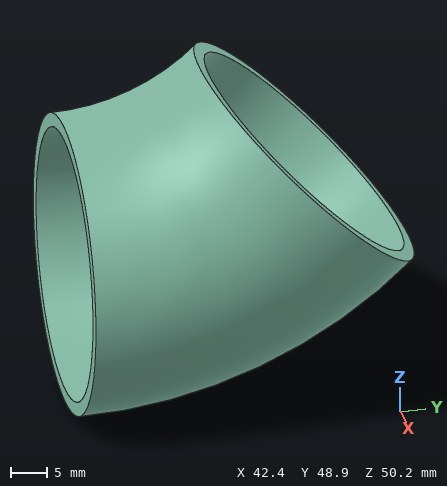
import cadquery as cq
import math

overall_height = 50.25
outer_diameter = 42.4
wall_thickness = 2.0
bend_angle = 45.0

outer_radius = outer_diameter / 2
inner_radius = outer_radius - wall_thickness

bend_cosine = math.cos(math.radians(bend_angle))
bend_radius = (overall_height - outer_radius * (1 + bend_cosine)) / (1 - bend_cosine)

result = (
    cq.Workplane("XZ")
    .circle(outer_radius)
    .circle(inner_radius)
    .revolve(bend_angle, (0, bend_radius, 0), (1, bend_radius, 0))
)